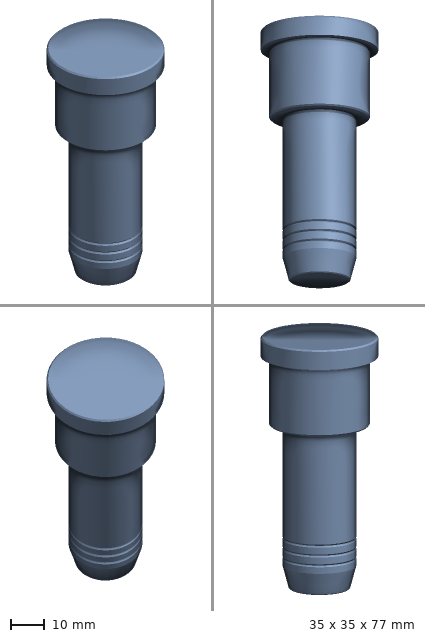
import cadquery as cq
import math

total_length = 77.0
head_height = 6.0
body_bottom = 50.0
neck_height = 1.0
taper_height = 7.0
taper_angle = 15.0

head_radius = 35.0 / 2
body_radius = 15.0
shaft_radius = 11.0
neck_radius = 10.5

edge_chamfer = 0.5
relief_height = 0.5
tip_chamfer = 0.3

groove_count = 3
groove_pitch = 3.0
groove_depth = 0.5
lowest_groove = 9.5


def cylinder(radius, bottom, top):
    """Solid cylinder about Z between two heights."""
    return cq.Workplane("XY").workplane(offset=bottom).circle(radius).extrude(top - bottom)


def make_head():
    """Flange with a broken top edge."""
    head = cylinder(head_radius, total_length - head_height, total_length)
    return head.faces(">Z").edges().chamfer(edge_chamfer)


def make_body():
    """Seating cylinder, chamfered at both ends, with a relief under the head."""
    head_bottom = total_length - head_height
    body_top = head_bottom - relief_height
    body = cylinder(body_radius, body_bottom, body_top).edges().chamfer(edge_chamfer)
    relief_radius = body_radius - edge_chamfer
    return body.union(cylinder(relief_radius, body_top, head_bottom))


def make_shaft():
    """Long shaft with a narrow neck above it and a tapered tip below it."""
    shaft_top = body_bottom - neck_height
    tip_radius = shaft_radius - taper_height * math.tan(math.radians(taper_angle))
    profile = (
        cq.Workplane("XZ")
        .polyline([
            (0, 0),
            (tip_radius, 0),
            (shaft_radius, taper_height),
            (shaft_radius, shaft_top),
            (neck_radius, shaft_top),
            (neck_radius, body_bottom),
            (0, body_bottom),
        ])
        .close()
    )
    shaft = profile.revolve(360, (0, 0), (0, 1))
    return shaft.faces("<Z").edges().chamfer(tip_chamfer)


def make_groove(height):
    """Ring to cut a 90-degree V-groove centred at the given height."""
    profile = (
        cq.Workplane("XZ")
        .polyline([
            (shaft_radius - groove_depth, height),
            (shaft_radius + groove_depth, height + 2 * groove_depth),
            (shaft_radius + groove_depth, height - 2 * groove_depth),
        ])
        .close()
    )
    return profile.revolve(360, (0, 0), (0, 1))


result = make_head().union(make_body()).union(make_shaft())
for index in range(groove_count):
    result = result.cut(make_groove(lowest_groove + index * groove_pitch))